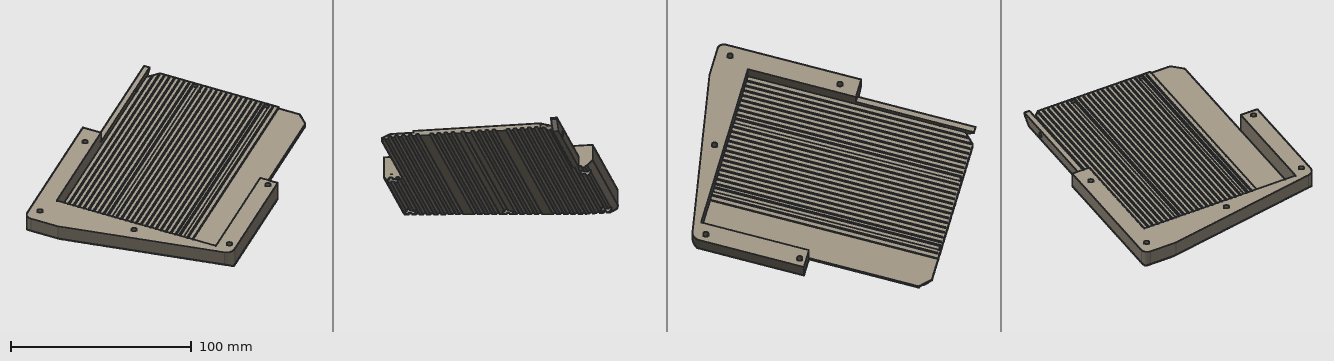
import cadquery as cq
frame_width = 117.5
frame_length = 81.7
frame_height = 13.0
front_flat = 20.0
slant_rise = 17.2
frame_bevel = 4.0
left_corner_radius = 3.8
right_corner_radius = 5.0

total_length = 150.7
plate_left = 11.0
plate_right = 107.0
plate_front = 19.6
plate_height = 3.0
plate_corner = 5.9
lowered_left = 88.3
lowered_depth = 1.01

rear_margin = 1.0
channel_end = total_length - rear_margin
channel_width = 0.5
channel_depth = 0.5
channel_groups = [(13.7, 34.8, 8), (42.3, 78.2, 13), (85.3, 85.3, 1)]
slot_width = 3.0
slot_depth = 2.0
slot_centres = [38.6, 81.7]

groove_middle = 60.5
groove_first_offset = 5.6
groove_last_offset = 57.3
grooves_per_side = 14
groove_under_slot = 4
groove_radius = 1.01

rail_left = 7.7
rail_width = plate_left - rail_left
rail_height = 6.2
rail_end = total_length - rear_margin
rail_tip = 1.0
rail_hole_diameter = 2.9
rail_hole_y = total_length - 19.3
rail_hole_z = 2.9

hole_diameter = 3.0
counterbore_diameter = 6.0
counterbore_depth = 3.0
left_hole_x = 5.9
right_hole_x = 113.2
hole_centres = [
    (left_hole_x, 8.0),
    (left_hole_x, 71.1),
    (60.0, 14.2),
    (right_hole_x, 24.1),
    (right_hole_x, 78.0),
]


def block(x_min, x_max, y_min, y_max, z_min, z_max):
    """Axis-aligned box given by its limits."""
    size = (x_max - x_min, y_max - y_min, z_max - z_min)
    return cq.Workplane("XY").box(*size, centered=False).translate((x_min, y_min, z_min))


def evenly_spaced(first, last, count):
    """Positions from first to last, both included."""
    return [first + (last - first) * i / max(count - 1, 1) for i in range(count)]


def make_frame_blank():
    return (
        cq.Workplane("XY")
        .moveTo(0, 0)
        .lineTo(front_flat, 0)
        .lineTo(frame_width, slant_rise)
        .lineTo(frame_width, frame_length)
        .lineTo(0, frame_length)
        .close()
        .extrude(frame_height)
    )


def make_frame():
    bevelled = make_frame_blank().faces("<Z").edges("not (>X or >Y)").chamfer(frame_bevel)
    right_corner = (frame_width, slant_rise, frame_height / 2)
    rounded = (
        make_frame_blank()
        .edges("|Z and <X and <Y")
        .fillet(left_corner_radius)
        .edges(cq.selectors.NearestToPointSelector(right_corner))
        .fillet(right_corner_radius)
    )
    opening = block(plate_left, plate_right, plate_front, frame_length, plate_height, frame_height)
    return bevelled.intersect(rounded).cut(opening)


def make_plate():
    return (
        block(plate_left, plate_right, plate_front, total_length, 0, plate_height)
        .edges("|Z and >Y")
        .chamfer(plate_corner)
    )


def make_lowered_area():
    floor = plate_height - lowered_depth
    return block(lowered_left, plate_right, plate_front, total_length, floor, plate_height)


def make_channel(centre, width, depth):
    left = centre - width / 2
    return block(left, left + width, plate_front, channel_end, plate_height - depth, plate_height)


def make_groove(centre):
    """Rod centred on the underside plane, so that it leaves a half-round groove."""
    return cq.Workplane("XZ").center(centre, 0).circle(groove_radius).extrude(-total_length)


def make_rail():
    undercut = rail_height - rail_tip
    side = cq.Workplane("YZ", origin=(rail_left, 0, 0))
    bar = (
        side.moveTo(frame_length, 0)
        .lineTo(rail_end - undercut, 0)
        .lineTo(rail_end, undercut)
        .lineTo(rail_end, rail_height)
        .lineTo(frame_length, rail_height)
        .close()
        .extrude(rail_width)
    )
    hole = side.center(rail_hole_y, rail_hole_z).circle(rail_hole_diameter / 2).extrude(rail_width)
    return bar.cut(hole)


def make_pins(diameter, height):
    """Round cutters standing on z = 0 at every screw position."""
    return cq.Workplane("XY").pushPoints(hole_centres).circle(diameter / 2).extrude(height)


body = make_frame().union(make_plate()).cut(make_lowered_area())

for first, last, count in channel_groups:
    for centre in evenly_spaced(first, last, count):
        body = body.cut(make_channel(centre, channel_width, channel_depth))
for centre in slot_centres:
    body = body.cut(make_channel(centre, slot_width, slot_depth))

body = body.cut(make_groove(groove_middle))
for i, offset in enumerate(evenly_spaced(groove_first_offset, groove_last_offset, grooves_per_side)):
    if i != groove_under_slot:
        body = body.cut(make_groove(groove_middle - offset))
        body = body.cut(make_groove(groove_middle + offset))

body = body.union(make_rail())

body = body.cut(make_pins(hole_diameter, frame_height))
result = body.cut(make_pins(counterbore_diameter, counterbore_depth))